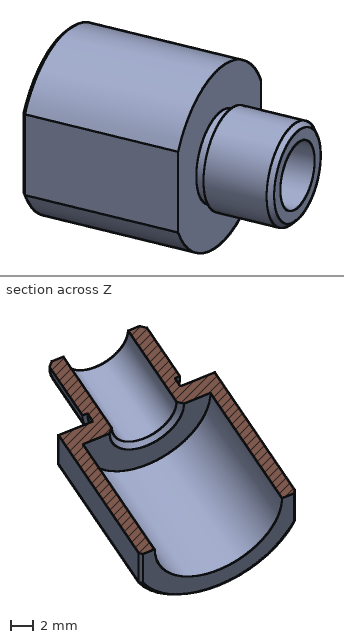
import cadquery as cq

total_length = 24.0
body_length = 16.0
body_diameter = 18.0
width_across_flats = 16.0
body_chamfer = 0.3

neck_length = 1.0
neck_diameter = 9.0
spigot_diameter = 10.0
spigot_chamfer = 0.5

bore_diameter = 13.0
bore_depth = 14.0
hole_diameter = 6.6
hole_chamfer = 0.5

open_end = -total_length / 2
shoulder = open_end + body_length
spigot_start = shoulder + neck_length
spigot_length = total_length - body_length - neck_length
bore_floor = open_end + bore_depth


def cylinder(start, length, diameter):
    """Solid cylinder along +X from the given station."""
    return cq.Workplane("YZ", origin=(start, 0, 0)).circle(diameter / 2).extrude(length)


def make_body():
    """Round body with two side flats and a chamfered open end."""
    flats = cq.Workplane("XY").box(2 * total_length, width_across_flats, 2 * body_diameter)
    body = cylinder(open_end, body_length, body_diameter).intersect(flats)
    return body.faces("<X").chamfer(body_chamfer)


def make_spigot():
    """Relief neck followed by the end spigot with a chamfered tip."""
    neck = cylinder(shoulder, neck_length, neck_diameter)
    tip = cylinder(spigot_start, spigot_length, spigot_diameter)
    return neck.union(tip.faces(">X").chamfer(spigot_chamfer))


def make_cavity():
    """Wide blind bore, then a through hole countersunk at the bore floor."""
    bore = cylinder(open_end, bore_depth, bore_diameter)
    hole = cylinder(open_end, total_length, hole_diameter)
    hole_radius = hole_diameter / 2
    countersink = (
        cq.Workplane("YZ", origin=(bore_floor, 0, 0))
        .circle(hole_radius + hole_chamfer)
        .workplane(offset=hole_chamfer)
        .circle(hole_radius)
        .loft(ruled=True)
    )
    return bore.union(hole).union(countersink)


result = make_body().union(make_spigot()).cut(make_cavity())